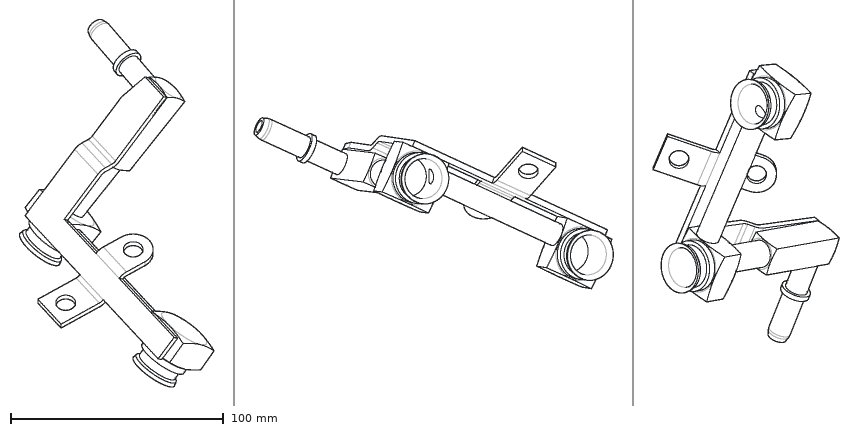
import cadquery as cq
import math

TIP_ANGLE = 45

PORT_SPACING = 90.8
PORT_TILT = 2.0
BLOCK_SIDE = 25.4
BLOCK_HEIGHT = 14.5
BLOCK_CHAMFER_ANGLE = 16
COLLAR_RADIUS = 12.0
COLLAR_LENGTH = 3.5
NECK_RADIUS = 10.2
NECK_LENGTH = 4.8
FLARE_RADIUS = 11.4
FLARE_LENGTH = 1.0
RIM_RADIUS = 11.9
RIM_LENGTH = 2.0
MOUTH_RADIUS = 11.7
MOUTH_DEPTH = 2.6
PORT_BORE_RADIUS = 9.4
PORT_BORE_TOP = 5.1

INLET_SIDE = 14.8
INLET_BOTTOM = 37.7
INLET_TOP = 83.0
STEM_RADIUS = 6.5
NIPPLE_Y = INLET_TOP - INLET_SIDE / 2
NIPPLE_LENGTH = 52.6
NIPPLE_RADIUS = 5.4
NIPPLE_BORE_RADIUS = 3.0
TIP_RADIUS = 4.5
TIP_SHOULDER_RADIUS = 5.2
TIP_LENGTH = 2.5
TIP_STEP_LENGTH = 1.4
RING_RADIUS = 7.1
RING_WIDTH = 2.5
RING_START = 25.2

PIPE_RADIUS = 5.5
PIPE_BORE_RADIUS = 3.1
PIPE_Y = -1.8
PIPE_Z = 3.8
PIPE_END_INSET = BLOCK_SIDE / 4

SHEET_THICKNESS = 3.0
BEND_RADIUS = 3.1
BEND_ANGLE = 45
STRIP_WIDTH = 18.8
SHEET_LEFT = -8.3
SHEET_BOTTOM = -7.1
BAR_WIDTH = 13.1
BAR_TOP = SHEET_BOTTOM + BAR_WIDTH
BAR_RIGHT = 99.1
BAR_UNDERSIDE = BLOCK_SIDE / 2
ARM_TOP = 81.9
ARM_TOP_UNDERSIDE = INLET_SIDE / 2
JOGGLE_START = 34.8
CORNER_CUT_WIDTH = 3.8
CORNER_CUT_HEIGHT = 15.4
TAB_X = PORT_SPACING / 2
LOWER_TAB_LENGTH = 24.6
LOWER_HOLE_INSET = 9.4
UPPER_HOLE_DISTANCE = 11.9
TAB_HOLE_RADIUS = 4.6


def heading_vector(heading):
    """Unit vector in the (y, z) plane, `heading` degrees from +Y towards +Z."""
    angle = math.radians(heading)
    return cq.Vector(math.cos(angle), math.sin(angle))


def revolve_about_y(outline):
    return outline.close().revolve(360, (0, 0, 0), (0, 1, 0))



def folded_strip(left, underside, headings):
    """Sheet strip whose underside follows the (y, z) corners, with its bends rounded.

    `headings` are the directions, in degrees from +Y, of the flats between the corners.
    """
    topside = []
    for index, corner in enumerate(underside):
        before = headings[max(index - 1, 0)]
        after = headings[min(index, len(headings) - 1)]
        mitre = SHEET_THICKNESS / math.cos(math.radians(after - before) / 2)
        outward = heading_vector((before + after) / 2 + 90) * mitre
        topside.append((corner[0] + outward.x, corner[1] + outward.y))

    outline = underside + topside[::-1]
    strip = cq.Workplane("YZ").polyline(outline).close().extrude(STRIP_WIDTH)
    for index in range(1, len(underside) - 1):
        bends_up = headings[index] > headings[index - 1]
        inside = topside[index] if bends_up else underside[index]
        outside = underside[index] if bends_up else topside[index]
        for corner, radius in ((inside, BEND_RADIUS), (outside, BEND_RADIUS + SHEET_THICKNESS)):
            bend_edge = cq.selectors.NearestToPointSelector((STRIP_WIDTH / 2, *corner))
            strip = strip.edges(bend_edge).fillet(radius)
    return strip.translate((left, 0, 0))


def build_arm():
    drop = BAR_UNDERSIDE - ARM_TOP_UNDERSIDE
    joggle_end = JOGGLE_START + drop / math.tan(math.radians(BEND_ANGLE))
    underside = [
        (SHEET_BOTTOM, BAR_UNDERSIDE),
        (JOGGLE_START, BAR_UNDERSIDE),
        (joggle_end, ARM_TOP_UNDERSIDE),
        (ARM_TOP, ARM_TOP_UNDERSIDE),
    ]
    arm = folded_strip(SHEET_LEFT, underside, [0, -BEND_ANGLE, 0])
    corner_cut = (
        cq.Workplane("XY", origin=(SHEET_LEFT, ARM_TOP, ARM_TOP_UNDERSIDE))
        .polyline([(0, 0), (CORNER_CUT_WIDTH, 0), (0, -CORNER_CUT_HEIGHT)])
        .close()
        .extrude(SHEET_THICKNESS)
    )
    return arm.cut(corner_cut)


def tab_disc(centre, radius):
    """Disc through the thickness of a tab, centred on a (y, z) point of the tab's underside."""
    outward = heading_vector(90 - BEND_ANGLE)
    plane = cq.Plane(
        origin=(TAB_X, centre.x, centre.y), xDir=(1, 0, 0), normal=(0, outward.x, outward.y)
    )
    return cq.Workplane(plane).circle(radius).extrude(SHEET_THICKNESS)


def build_tabs():
    """Strip across the bar, folded at both edges of the bar into parallel mounting tabs."""
    heading = heading_vector(-BEND_ANGLE)
    half_bend = math.tan(math.radians(BEND_ANGLE / 2))
    lower_corner_y = SHEET_BOTTOM - (BEND_RADIUS + SHEET_THICKNESS) * half_bend
    upper_corner_y = BAR_TOP + BEND_RADIUS * half_bend
    lower_corner = cq.Vector(lower_corner_y, BAR_UNDERSIDE)
    upper_corner = cq.Vector(upper_corner_y, BAR_UNDERSIDE)
    lower_end = lower_corner - heading * LOWER_TAB_LENGTH
    lower_hole = lower_end + heading * LOWER_HOLE_INSET
    upper_hole = upper_corner + heading * UPPER_HOLE_DISTANCE

    underside = [(p.x, p.y) for p in (lower_end, lower_corner, upper_corner, upper_hole)]
    tabs = folded_strip(TAB_X - STRIP_WIDTH / 2, underside, [-BEND_ANGLE, 0, -BEND_ANGLE])
    tabs = tabs.union(tab_disc(upper_hole, STRIP_WIDTH / 2))
    for hole in (lower_hole, upper_hole):
        tabs = tabs.cut(tab_disc(hole, TAB_HOLE_RADIUS))
    return tabs


def build_bracket():
    bar = (
        cq.Workplane("XY", origin=(SHEET_LEFT, SHEET_BOTTOM, BAR_UNDERSIDE))
        .box(BAR_RIGHT - SHEET_LEFT, BAR_WIDTH, SHEET_THICKNESS, centered=False)
    )
    return bar.union(build_arm()).union(build_tabs())



def chamfered_block(side, bottom, top):
    """Square block along Y whose ends carry a cone chamfer touching the middle of each side."""
    half = side / 2
    corner = half * math.sqrt(2)
    drop = (corner - half) * math.tan(math.radians(BLOCK_CHAMFER_ANGLE))
    envelope = revolve_about_y(cq.Workplane("XY").polyline([
        (0, bottom),
        (half, bottom),
        (corner, bottom + drop),
        (corner, top - drop),
        (half, top),
        (0, top),
    ]))
    block = cq.Workplane("XY", origin=(0, (top + bottom) / 2, 0)).box(side, top - bottom, side)
    return block.intersect(envelope)


def build_port():
    block_bottom = -BLOCK_HEIGHT / 2
    collar_end = block_bottom - COLLAR_LENGTH
    neck_end = collar_end - NECK_LENGTH
    flare_end = neck_end - FLARE_LENGTH
    rim_end = flare_end - RIM_LENGTH
    block = chamfered_block(BLOCK_SIDE, block_bottom, BLOCK_HEIGHT / 2)
    spigot = revolve_about_y(cq.Workplane("XY").polyline([
        (0, block_bottom),
        (COLLAR_RADIUS, block_bottom),
        (COLLAR_RADIUS, collar_end),
        (NECK_RADIUS, collar_end),
        (NECK_RADIUS, neck_end),
        (FLARE_RADIUS, flare_end),
        (RIM_RADIUS, rim_end),
        (0, rim_end),
    ]))

    diagonal = math.sqrt(0.5)
    mouth_middle = (
        MOUTH_RADIUS - (MOUTH_RADIUS - PORT_BORE_RADIUS) * diagonal,
        rim_end + MOUTH_DEPTH * (1 - diagonal),
    )
    bore = revolve_about_y(
        cq.Workplane("XY")
        .moveTo(0, rim_end)
        .lineTo(MOUTH_RADIUS, rim_end)
        .threePointArc(mouth_middle, (PORT_BORE_RADIUS, rim_end + MOUTH_DEPTH))
        .lineTo(PORT_BORE_RADIUS, PORT_BORE_TOP)
        .lineTo(0, PORT_BORE_TOP)
    )
    return block.union(spigot).cut(bore)



def build_inlet():
    block = chamfered_block(INLET_SIDE, INLET_BOTTOM, INLET_TOP)
    stem_start = BLOCK_HEIGHT / 2
    stem = (
        cq.Workplane("XZ", origin=(0, stem_start, 0))
        .circle(STEM_RADIUS)
        .extrude(stem_start - INLET_BOTTOM)
    )
    ring_end = RING_START + RING_WIDTH
    shoulder = NIPPLE_LENGTH - TIP_LENGTH
    barrel_end = shoulder - TIP_STEP_LENGTH
    nipple = (
        cq.Workplane("XY", origin=(0, NIPPLE_Y, 0))
        .polyline([
            (0, 0),
            (0, NIPPLE_RADIUS),
            (-RING_START, NIPPLE_RADIUS),
            (-RING_START, RING_RADIUS),
            (-ring_end, RING_RADIUS),
            (-ring_end, NIPPLE_RADIUS),
            (-barrel_end, NIPPLE_RADIUS),
            (-shoulder, TIP_SHOULDER_RADIUS),
            (-NIPPLE_LENGTH, TIP_RADIUS),
            (-NIPPLE_LENGTH, 0),
        ])
        .close()
        .revolve(360, (0, 0, 0), (1, 0, 0))
    )
    bore = (
        cq.Workplane("YZ", origin=(0, NIPPLE_Y, 0))
        .circle(NIPPLE_BORE_RADIUS)
        .extrude(-NIPPLE_LENGTH)
    )
    return block.union(stem).union(nipple).cut(bore)



def pipe_cylinder(radius):
    """Cylinder on the pipe axis, its ends inside the two port blocks."""
    return (
        cq.Workplane("YZ", origin=(PIPE_END_INSET, PIPE_Y, PIPE_Z))
        .circle(radius)
        .extrude(PORT_SPACING - 2 * PIPE_END_INSET)
    )



def tilted(body, angle, x=0):
    """Body turned within the sheet plane about its own origin, then moved along X."""
    return body.rotate((0, 0, 0), (0, 0, 1), angle).translate((x, 0, 0))


port = build_port()
port_block = chamfered_block(BLOCK_SIDE, -BLOCK_HEIGHT / 2, BLOCK_HEIGHT / 2)
pipe_bore = pipe_cylinder(PIPE_BORE_RADIUS)

ports = []
cross_pipe = pipe_cylinder(PIPE_RADIUS).cut(pipe_bore)
for port_x, port_angle in ((0, -PORT_TILT), (PORT_SPACING, PORT_TILT)):
    ports.append(tilted(port, port_angle, port_x).cut(pipe_bore))
    cross_pipe = cross_pipe.cut(tilted(port_block, port_angle, port_x))

inlet = tilted(build_inlet(), -PORT_TILT)
bracket = build_bracket()

flat_bodies = [bracket, inlet, cross_pipe, *ports]
result = cq.Compound.makeCompound(
    [body.val().rotate((0, 0, 0), (1, 0, 0), TIP_ANGLE) for body in flat_bodies]
)